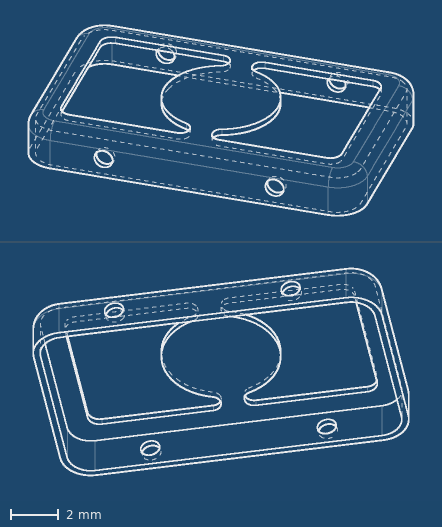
import cadquery as cq

length = 14.8
width = 8.9
height = 2.0
corner_radius = 1.3
top_edge_radius = 0.6

wall = 0.3
plate_thickness = wall
cavity_length = length - 2 * wall
cavity_width = width - 2 * wall
cavity_height = height - plate_thickness
cavity_corner_radius = corner_radius - wall

opening_length = 12.3
opening_width = 6.4
opening_corner_radius = 0.5
disk_diameter = 5.0
neck_width = 1.0
neck_fillet_radius = 0.4

hole_diameter = 0.8
hole_spacing = 7.5
hole_height = 0.9


def rounded_block(size_x, size_y, size_z, radius):
    """Block standing on z = 0 with rounded vertical corners."""
    block = cq.Workplane("XY").box(size_x, size_y, size_z, centered=(True, True, False))
    return block.edges("|Z").fillet(radius)


def plate_windows():
    """Two window cutters, leaving the disk and its necks between them."""
    plane = cq.Workplane("XY").workplane(offset=cavity_height)
    opening = rounded_block(opening_length, opening_width, plate_thickness, opening_corner_radius)
    opening = opening.translate((0, 0, cavity_height))
    disk = plane.circle(disk_diameter / 2).extrude(plate_thickness)
    neck = plane.rect(neck_width, width).extrude(plate_thickness)
    windows = opening.cut(disk.union(neck))
    neck_edges = cq.selectors.BoxSelector(
        (-neck_width, -width, 0),
        (neck_width, width, height),
    )
    return windows.edges("|Z").edges(neck_edges).fillet(neck_fillet_radius)


def cross_holes():
    """Pair of cylinders running through the part along Y."""
    plane = cq.Workplane("XZ", origin=(0, 0, hole_height))
    centers = [(-hole_spacing / 2, 0), (hole_spacing / 2, 0)]
    return plane.pushPoints(centers).circle(hole_diameter / 2).extrude(width, both=True)


body = rounded_block(length, width, height, corner_radius)
body = body.faces(">Z").edges().fillet(top_edge_radius)
cavity = rounded_block(cavity_length, cavity_width, cavity_height, cavity_corner_radius)

result = body.cut(cavity).cut(plate_windows()).cut(cross_holes())